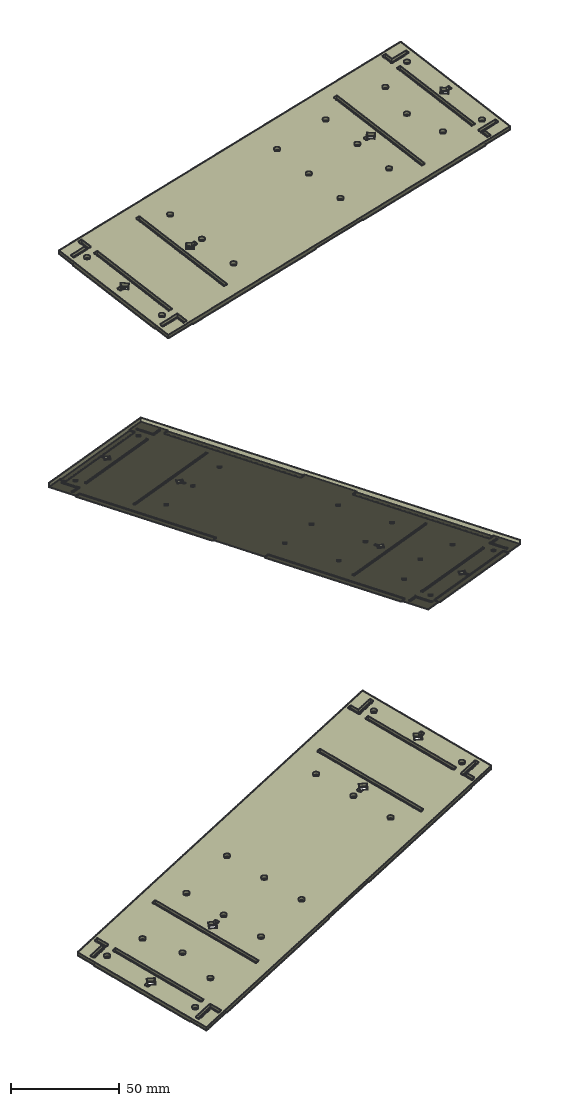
import cadquery as cq
import math

width = 76.0
length = 211.0
total_height = 2.7
ridge_height = 0.5
plate_thickness = total_height - ridge_height

wall_slope = 1 / 3
wall_draft = math.degrees(math.atan(wall_slope))
taper_depth = 1.5
wall_inset = taper_depth * wall_slope

ridge_width = 3.0
end_ridge_length = 57.0
side_ridge_length = 76.0
side_ridge_center_y = 52.5

slot_width = 2.0
cross_slots = [(52.0, 93.5), (61.0, 58.5), (61.0, -63.5), (52.0, -93.5)]

corner_slot_width = 2.0
corner_slot_inner_x = 30.0
corner_slot_outer_x = 36.5
corner_slot_inner_y = 92.8
corner_slot_outer_y = 103.5

hole_diameter = 2.0
hole_top_diameter = hole_diameter + 2 * wall_inset
single_hole_y = 75.5
corner_hole_x = 26.0
corner_hole_y = 98.75
pair_hole_x = 20.0
pair_hole_y = 80.0
row_hole_pitch = 22.0
row_hole_ys = [45.0, 15.0, -51.0]

hole_points = [(0, single_hole_y)]
hole_points += [(side * corner_hole_x, end * corner_hole_y) for side in (-1, 1) for end in (-1, 1)]
hole_points += [(side * pair_hole_x, pair_hole_y) for side in (-1, 1)]
hole_points += [(column * row_hole_pitch, y) for column in (-1, 0, 1) for y in row_hole_ys]

keyhole_square = 4.0
keyhole_neck_width = 2.0
keyhole_neck_reach = 3.5
keyholes = [(98.75, 1), (53.25, -1), (-58.25, 1), (-98.75, -1)]


def block(size_x, size_y, size_z, center_x, center_y, bottom_z=0.0):
    """Box centred in X and Y, standing on bottom_z."""
    box = cq.Workplane("XY").box(size_x, size_y, size_z, centered=(True, True, False))
    return box.translate((center_x, center_y, bottom_z))


def tapered_cutter(profile):
    """Through cutter from its top-face profile: tapered upper part, straight below."""
    funnel = profile.extrude(-taper_depth, taper=wall_draft)
    throat = funnel.faces("<Z").wires().toPending().extrude(taper_depth - total_height)
    return throat.translate((0, 0, total_height))


def through_slot(size_x, size_y, center_x, center_y):
    """Tapered rectangular cutter, sized at the top face."""
    return tapered_cutter(cq.Workplane("XY").center(center_x, center_y).rect(size_x, size_y))


def add_ridges(body):
    """Ridges flush with the plate rim: one on each end, two on each side."""
    for sign in (-1, 1):
        end_y = sign * (length - ridge_width) / 2
        body = body.union(block(end_ridge_length, ridge_width, ridge_height, 0, end_y))
        side_x = sign * (width - ridge_width) / 2
        for end in (-1, 1):
            side_y = end * side_ridge_center_y
            body = body.union(block(ridge_width, side_ridge_length, ridge_height, side_x, side_y))
    return body


def corner_slot(sign_x, sign_y):
    """L-shaped cutter with its elbow toward the plate centre."""
    leg_x = corner_slot_outer_x - corner_slot_inner_x
    leg_y = corner_slot_outer_y - corner_slot_inner_y
    mid_x = (corner_slot_outer_x + corner_slot_inner_x) / 2
    mid_y = (corner_slot_outer_y + corner_slot_inner_y) / 2
    elbow_x = corner_slot_inner_x + corner_slot_width / 2
    elbow_y = corner_slot_inner_y + corner_slot_width / 2
    along_x = through_slot(leg_x, corner_slot_width, sign_x * mid_x, sign_y * elbow_y)
    along_y = through_slot(corner_slot_width, leg_y, sign_x * elbow_x, sign_y * mid_y)
    return along_x.union(along_y)


def keyhole(center_y, direction):
    """Keyhole cutter: diamond opening with a neck toward one end."""
    square = through_slot(keyhole_square, keyhole_square, 0, 0)
    diamond = square.rotate((0, 0, 0), (0, 0, 1), 45).translate((0, center_y, 0))
    neck_y = center_y + direction * keyhole_neck_reach / 2
    return diamond.union(through_slot(keyhole_neck_width, keyhole_neck_reach, 0, neck_y))


result = add_ridges(block(width, length, plate_thickness, 0, 0, ridge_height))

for slot_length, slot_y in cross_slots:
    result = result.cut(through_slot(slot_length, slot_width, 0, slot_y))

for sign_x in (-1, 1):
    for sign_y in (-1, 1):
        result = result.cut(corner_slot(sign_x, sign_y))

for keyhole_y, neck_direction in keyholes:
    result = result.cut(keyhole(keyhole_y, neck_direction))

for hole_x, hole_y in hole_points:
    hole_profile = cq.Workplane("XY").center(hole_x, hole_y).circle(hole_top_diameter / 2)
    result = result.cut(tapered_cutter(hole_profile))